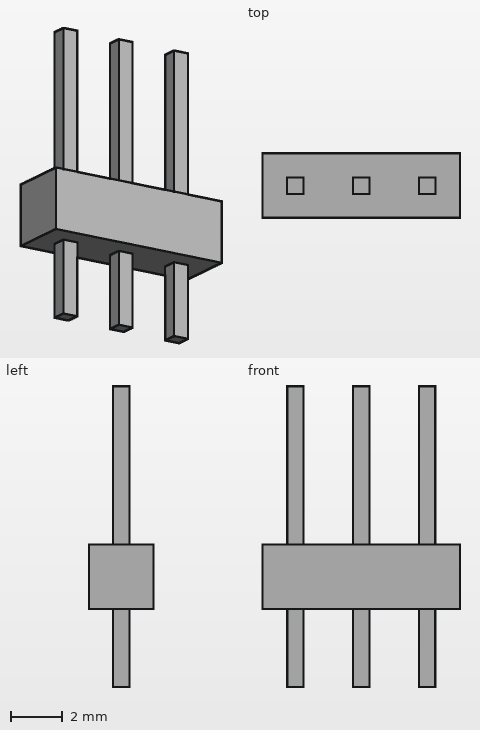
import cadquery as cq

pin_count = 3
pitch = 2.54
pin_width = 0.64
pin_above = 6.1
pin_below = 3.0

body_length = pin_count * pitch
body_depth = 2.5
body_height = 2.5

pin_length = pin_below + body_height + pin_above


def make_body():
    """Insulating block, resting on Z = 0 and centred in X and Y."""
    return cq.Workplane("XY").box(body_length, body_depth, body_height, centered=(True, True, False))


def make_pin(x):
    """Square pin running vertically through the body at the given X."""
    pin = cq.Workplane("XY").box(pin_width, pin_width, pin_length, centered=(True, True, False))
    return pin.translate((x, 0, -pin_below))


result = make_body()
for index in range(pin_count):
    pin_x = (index - (pin_count - 1) / 2) * pitch
    result = result.union(make_pin(pin_x))